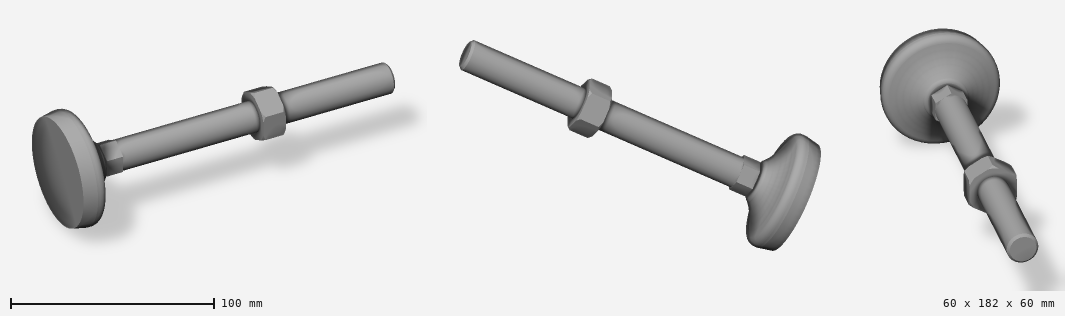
import cadquery as cq
import math

total_length = 182.0
stud_diameter = 16.0
stud_chamfer = 1.3

foot_diameter = 60.0
base_diameter = 57.1
taper_height = 7.3
band_height = 1.6
rim_radius = 4.0
rim_end_angle = math.radians(15)
flank_mid_radius = 17.7
flank_mid_height = 16.0
shoulder_radius = 11.5
shoulder_height = 20.5
crown_radius = 9.5
foot_height = 22.0
crown_bulge = 0.2

neck_diameter = 10.0
hexagon_start = 23.1
hexagon_length = 9.0

nut_across_flats = 24.0
nut_start = 107.0
nut_thickness = 12.4
nut_chamfer = 1.3


def hexagon_diameter(across_flats):
    """Diameter across the corners of a hexagon."""
    return across_flats / math.cos(math.pi / 6)


def cylinder(diameter, start, length):
    """Cylinder along +Y from the given start."""
    plane = cq.Workplane("XZ", origin=(0, start, 0))
    return plane.circle(diameter / 2).extrude(-length)


def hexagon(across_flats, start, length):
    """Hexagonal prism along +Y with flats facing +X and -X."""
    plane = cq.Workplane("XZ", origin=(0, start, 0)).transformed(rotate=(0, 0, 90))
    return plane.polygon(6, hexagon_diameter(across_flats)).extrude(-length)


def make_foot():
    """Revolved bell: tapered base, straight band, rounded rim, concave flank, rounded crown."""
    rim_start = taper_height + band_height
    rim_center = foot_diameter / 2 - rim_radius

    def rim_point(angle):
        return (rim_center + rim_radius * math.sin(angle), rim_start + rim_radius * math.cos(angle))

    rim_mid_angle = (math.pi / 2 + rim_end_angle) / 2
    crown_mid = (
        (shoulder_radius + crown_radius) / 2 + crown_bulge,
        (shoulder_height + foot_height) / 2 + crown_bulge,
    )
    profile = (
        cq.Workplane("XY")
        .lineTo(base_diameter / 2, 0)
        .lineTo(foot_diameter / 2, taper_height)
        .lineTo(foot_diameter / 2, rim_start)
        .threePointArc(rim_point(rim_mid_angle), rim_point(rim_end_angle))
        .threePointArc((flank_mid_radius, flank_mid_height), (shoulder_radius, shoulder_height))
        .threePointArc(crown_mid, (crown_radius, foot_height))
        .lineTo(0, foot_height)
        .close()
    )
    return profile.revolve(360, (0, 0, 0), (0, 1, 0))


def make_stud():
    """Neck, wrench hexagon and long rod with a chamfered free end."""
    rod_start = hexagon_start + hexagon_length
    neck = cylinder(neck_diameter, foot_height, hexagon_start - foot_height)
    wrench_hexagon = hexagon(stud_diameter, hexagon_start, hexagon_length)
    rod = cylinder(stud_diameter, rod_start, total_length - rod_start)
    rod = rod.faces(">Y").chamfer(stud_chamfer)
    return neck.union(wrench_hexagon).union(rod)


def make_nut():
    """Hexagon whose corners are trimmed by a chamfered cylinder."""
    trim = cylinder(hexagon_diameter(nut_across_flats), nut_start, nut_thickness)
    trim = trim.faces("<Y or >Y").chamfer(nut_chamfer)
    return hexagon(nut_across_flats, nut_start, nut_thickness).intersect(trim)


result = make_foot().union(make_stud()).union(make_nut())